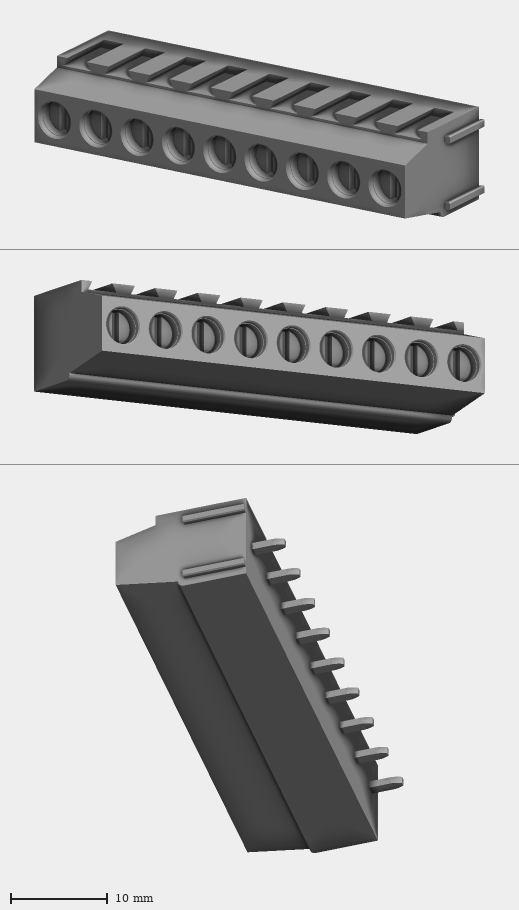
import cadquery as cq


way_count = 9
overall_length = 46.3
body_length = 45.6
body_depth = 14.1
body_height = 10.1
first_way_x = 2.5
last_way_x = 43.15
pitch = (last_way_x - first_way_x) / (way_count - 1)
shoulder_y = 4.3
shoulder_z = 8.85
front_top_z = 7.7
front_bottom_z = 1.9
foot_y = 6.75
foot_height = 0.7
foot_curve_depth = 0.5
foot_radius = (foot_height**2 + foot_curve_depth**2) / (2 * foot_curve_depth)

recess_depth = 0.93
recess_top_width = 2.4
recess_floor_width = 3.35
recess_back_y = body_depth - 2.8

screw_z = 4.75
well_radius = 1.85
well_mouth_radius = 1.9
well_mouth_depth = 0.7
well_rim_radius = 2.05
well_rim_depth = 0.15
screw_depth = 1.6
screw_chamfer = 0.2
slot_width = 0.85
slot_depth = 0.93

pin_length = 3.45
pin_width = 1.0
pin_thickness = 0.85
pin_z = 5.15
pin_tip_width = 0.4
pin_tip_length = 1.1
pin_tip_mid_width = 0.85

rib_height = overall_length - body_length
rib_length = 6.65
rib_root_width = 0.6
rib_head_width = 0.9
rib_tip_width = 0.65
rib_head_height = 0.55
rib_centres_z = (1.2, 8.42)

way_centres_x = [first_way_x + way * pitch for way in range(way_count)]


def make_housing():
    """Side profile swept along the row."""
    return (
        cq.Workplane("YZ")
        .moveTo(0, front_bottom_z)
        .lineTo(0, front_top_z)
        .lineTo(shoulder_y, shoulder_z)
        .lineTo(shoulder_y, body_height)
        .lineTo(body_depth, body_height)
        .lineTo(body_depth, 0)
        .lineTo(foot_y + foot_curve_depth, 0)
        .radiusArc((foot_y, foot_height), foot_radius)
        .close()
        .extrude(body_length)
    )


def make_recess(x):
    """Undercut dovetail channel, open at the top and at the riser."""
    half_top = recess_top_width / 2
    half_floor = recess_floor_width / 2
    floor_z = body_height - recess_depth
    return (
        cq.Workplane("XZ", origin=(x, shoulder_y, 0))
        .polyline([
            (-half_floor, floor_z),
            (half_floor, floor_z),
            (half_top, body_height),
            (-half_top, body_height),
        ])
        .close()
        .extrude(shoulder_y - recess_back_y)
    )


def make_screw_well(x):
    """Cavity above the screw: tapered rim, wider mouth, bore, chamfered head edge and driver slot."""
    head_flat_radius = well_radius - screw_chamfer
    cavity = (
        cq.Workplane("XY", origin=(x, 0, screw_z))
        .moveTo(0, 0)
        .lineTo(well_rim_radius, 0)
        .lineTo(well_mouth_radius, well_rim_depth)
        .lineTo(well_mouth_radius, well_mouth_depth)
        .lineTo(well_radius, well_mouth_depth)
        .lineTo(well_radius, screw_depth + screw_chamfer)
        .lineTo(head_flat_radius, screw_depth)
        .lineTo(0, screw_depth)
        .close()
        .revolve(360, (0, 0, 0), (0, 1, 0))
    )
    slot_bottom_y = screw_depth + slot_depth
    bore = (
        cq.Workplane("XZ", origin=(x, 0, screw_z))
        .circle(well_radius)
        .extrude(-slot_bottom_y)
    )
    slot = (
        cq.Workplane("XY", origin=(x, 0, screw_z))
        .box(slot_width, slot_bottom_y, 2 * well_radius, centered=(True, False, True))
        .intersect(bore)
    )
    return cavity.union(slot)


def make_pin(x):
    """Flat pin with a rounded, narrowed tip."""
    half = pin_width / 2
    half_mid = pin_tip_mid_width / 2
    half_tip = pin_tip_width / 2
    tip_start = pin_length - pin_tip_length
    tip_middle = pin_length - pin_tip_length / 2
    return (
        cq.Workplane("XY", origin=(x, body_depth, pin_z - pin_thickness / 2))
        .moveTo(-half, 0)
        .lineTo(half, 0)
        .lineTo(half, tip_start)
        .threePointArc((half_mid, tip_middle), (half_tip, pin_length))
        .lineTo(-half_tip, pin_length)
        .threePointArc((-half_mid, tip_middle), (-half, tip_start))
        .close()
        .extrude(pin_thickness)
    )


def make_rib(z):
    """Rib that flares from its root and is bevelled at its tip."""
    half_root = rib_root_width / 2
    half_head = rib_head_width / 2
    half_tip = rib_tip_width / 2
    return (
        cq.Workplane("XZ", origin=(body_length, body_depth, z))
        .polyline([
            (0, -half_root),
            (rib_head_height, -half_head),
            (rib_height, -half_tip),
            (rib_height, half_tip),
            (rib_head_height, half_head),
            (0, half_root),
        ])
        .close()
        .extrude(rib_length)
    )


result = make_housing()
for centre_x in way_centres_x:
    result = result.cut(make_recess(centre_x))
    result = result.cut(make_screw_well(centre_x))
    result = result.union(make_pin(centre_x))
for centre_z in rib_centres_z:
    result = result.union(make_rib(centre_z))